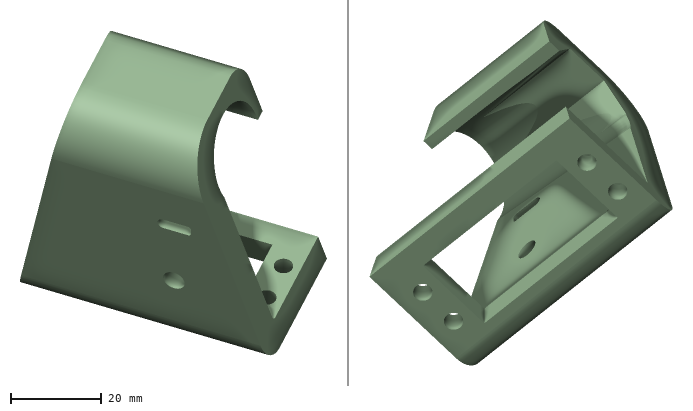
import cadquery as cq

length = 60.35
depth = 34.9
height = 60.95

wall = 8.0
plate = 6.45
hook_back = 33.1
hook_bottom = 45.0
hook_tip = 29.8
roof_front = 13.35
roof_back = 24.5
roof = height - plate
front_top_radius = 12.8
hook_radius = 6.4
base_radius = 6.4
inner_radius = 1.0

top_left = 10.55
top_right = 40.55

bore_radius = 11.4
bore_y = (wall + hook_tip) / 2
bore_left_z = 39.5
bore_right_z = 47.9

hole_x = 37.6
hole_z = 19.6
hole_diameter = 5.1
slot_left = 33.7
slot_right = 41.7
slot_z = 37.4
slot_height = 2.8
slot_corner = 0.8

middle_x = 29.55
base_hole_spacing_x = 49.5
base_hole_spacing_y = 10.1
base_hole_y = bore_y
base_hole_diameter = 4.3
window_length = 40.2
window_width = 20.1


def section_edge(body, y, z, radius):
    """Round the lengthwise edge of the section nearest to (y, z)."""
    edge = cq.selectors.NearestToPointSelector((length / 2, y, z))
    return body.edges("|X").edges(edge).fillet(radius)


def make_body():
    points = [
        (0, 0), (depth, 0), (depth, plate), (wall, plate),
        (wall, hook_bottom), (roof_front, roof), (roof_back, roof),
        (hook_tip, hook_bottom), (hook_back, hook_bottom),
        (hook_back, height), (0, height),
    ]
    body = cq.Workplane("YZ").polyline(points).close().extrude(length)
    body = section_edge(body, 0, 0, base_radius)
    body = section_edge(body, wall, plate, inner_radius)
    body = section_edge(body, 0, height, front_top_radius)
    return section_edge(body, hook_back, height, hook_radius)


def make_end_envelope():
    """Trapezoid that trims both ends of the body to their slopes."""
    outline = [(0, 0), (length, 0), (top_right, height), (top_left, height)]
    return cq.Workplane("XZ").polyline(outline).close().extrude(-depth)


def make_bore():
    start = cq.Vector(0, bore_y, bore_left_z)
    axis = cq.Vector(length, 0, bore_right_z - bore_left_z)
    return cq.Workplane(cq.Solid.makeCylinder(bore_radius, 3 * length, start - axis, axis))


def make_wall_hole():
    return cq.Workplane("XZ").center(hole_x, hole_z).circle(hole_diameter / 2).extrude(-wall)


def make_slot():
    """Slot with a round left end and softened corners at the right end."""
    radius = slot_height / 2
    slot = (
        cq.Workplane("XZ")
        .moveTo(slot_left + radius, slot_z - radius)
        .lineTo(slot_right, slot_z - radius)
        .lineTo(slot_right, slot_z + radius)
        .lineTo(slot_left + radius, slot_z + radius)
        .threePointArc((slot_left, slot_z), (slot_left + radius, slot_z - radius))
        .close()
        .extrude(-wall)
    )
    return slot.edges("|Y and >X").fillet(slot_corner)


def make_base_openings():
    base = cq.Workplane("XY").center(middle_x, base_hole_y)
    window = base.rect(window_length, window_width).extrude(plate)
    holes = (
        base.rarray(base_hole_spacing_x, base_hole_spacing_y, 2, 2)
        .circle(base_hole_diameter / 2)
        .extrude(plate)
    )
    return window.union(holes)


result = (
    make_body()
    .intersect(make_end_envelope())
    .cut(make_bore())
    .cut(make_wall_hole())
    .cut(make_slot())
    .cut(make_base_openings())
)